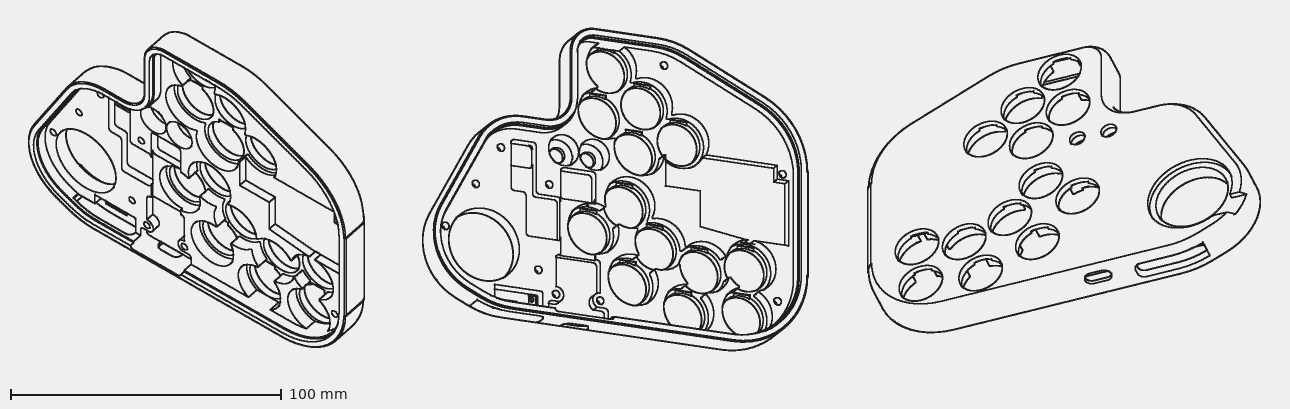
import cadquery as cq
import math


DEPTH = 14.0
HEIGHT = 115.0
BODY_WIDTH = 150.6
PAD_THICKNESS = 0.3
PAD_BOTTOM = 30.0
PAD_TOP = 70.8
PAD_ROOT = 15.1

BIG_RADIUS = 30.0
NOTCH_RADIUS = 10.0
NOTCH_X = 55.1
SHOULDER_Z = 76.5
OUTLINE_CORNERS = [
    (24.8, 0, BIG_RADIUS),
    (BODY_WIDTH, 0, BIG_RADIUS),
    (BODY_WIDTH, 89.8, BIG_RADIUS),
    (97.0, HEIGHT, BIG_RADIUS),
    (NOTCH_X, HEIGHT, NOTCH_RADIUS),
    (NOTCH_X, SHOULDER_Z, NOTCH_RADIUS),
    (23.8, SHOULDER_Z, 19.9),
    (-8.8, 15.4, 23.0),
]

BACK_CHAMFER = 2.5
BACK_FILLET = 3.9
FRONT_CHAMFER = 0.5

FLOOR_Y = 6.0
LID_INSET = 2.7
LID_DEPTH = 2.0
WALL_INSET = 3.3

CLUSTER_SIZE = 5
BUTTON_CENTRES = [
    (74.1, 103.1), (70.8, 84.4), (85.3, 72.1), (103.2, 78.6), (88.6, 90.9),
    (81.5, 50.9), (67.0, 38.6), (93.7, 36.2), (130.3, 33.0), (111.7, 29.7),
    (82.9, 20.7), (128.8, 14.2), (105.2, 11.9),
]
BUTTON_DIAMETER = 17.0
SEAT_DIAMETER = 20.0
BUTTON_PLATE = 3.0
SEAT_Y = DEPTH - BUTTON_PLATE
CUSP_RADIUS = 0.5
CLIP_WIDTH = 6.6
CLIP_REACH = 9.2
CLIP_DEPTH = 0.8

STICK_CENTRE = (22.8, 26.0)
STICK_DIAMETER = 28.4
RECESS_DIAMETER = 33.2
RECESS_DEPTH = 2.1
CHANNEL_BOTTOM = 11.9
CHANNEL_TOP = 20.5

JACK_CENTRES = [(54.8, 67.6), (67.2, 67.6)]
JACK_DIAMETER = 6.0
JACK_SEAT_DIAMETER = 12.0
JACK_PLATE = 2.0

USB_SCREW_CENTRES = [(51.8, 10.5), (69.6, 10.5)]
SCREW_CENTRES = USB_SCREW_CENTRES + [
    (95.2, 106.7), (143.0, 70.8), (29.6, 65.0), (49.0, 53.3),
    (19.5, 49.4), (7.2, 31.1), (44.7, 19.2), (141.0, 20.5),
]
SCREW_DIAMETER = 2.9
SCREW_DEPTH = 3.9

POCKET_DEPTH = 3.5
POCKET_RADIUS = 1.5
BOARD_POINTS = [
    (95.8, 74.0), (140.8, 74.0), (140.8, 68.5), (145.4, 68.5), (145.4, 43.0),
    (127.7, 43.0), (109.9, 45.5), (109.9, 59.5), (95.8, 59.5),
]

TRUNK_LEFT = 33.7
TRUNK_RIGHT = 43.8
TRUNK_TOP = 69.0
TRUNK_STEP_Z = 48.9
TRUNK_FOOT_LEFT = 39.7
TRUNK_FOOT_BOTTOM = 31.8
TRUNK_RADIUS = 1.4
WELL_BOTTOM = 59.9
WELL_DEPTH = 4.4

SOCKET_LEFT = 53.7
SOCKET_RIGHT = 67.8
SOCKET_TOP = 60.8
SOCKET_DEPTH = 3.9
CABLE_DEPTH = 1.0

USB_LEFT, USB_RIGHT = (x for x, z in USB_SCREW_CENTRES)
USB_TOP = 26.4
FLANGE_LEFT = 48.8
FLANGE_RIGHT = 72.8
FLANGE_TOP = 7.8
FLANGE_BOTTOM = 1.5
BOSS_DIAMETER = 6.0
USB_SLOT_LENGTH = 10.4
USB_SLOT_WIDTH = 5.3
USB_SLOT_Y = 9.0

SWITCH_LEFT = 27.0
SWITCH_RIGHT = 46.3
SWITCH_TOP = 10.9
SWITCH_BOTTOM = 3.5
SWITCH_RADIUS = 0.8
SLOT_LEFT = 18.9
SLOT_FRONT = 3.3
SLOT_BACK = 10.7
SLOT_TOP = 6.2
SLOT_RADIUS = 2.5
PIN_PAD_DEPTH = 0.8
LOWER_PAD_LEFT = 28.4
LOWER_PAD_RIGHT = 38.3
LOWER_PAD_TOP = 7.2
SIDE_PAD_LEFT = 42.7
SIDE_PAD_RIGHT = 45.9
SIDE_PAD_BOTTOM = 3.8
SIDE_PAD_TOP = 10.5
PIN_CENTRES = [(30.2, 5.9), (36.4, 5.9), (44.2, 9.2), (44.2, 5.6)]
PIN_DIAMETER = 1.8
PIN_DEPTH = 1.5

CLEARANCE = 1.5


def plane_at(y):
    """Sketch plane at the given Y, with local x = X and local y = Z."""
    return cq.Workplane("XZ", origin=(0, y, 0))


def prism(sketch, depth):
    """Extrude a closed sketch toward the back."""
    return sketch.extrude(-depth)


def polygon(points, y, depth):
    return prism(plane_at(y).polyline(points).close(), depth)


def box(left, right, bottom, top, y, depth):
    return polygon([(left, bottom), (right, bottom), (right, top), (left, top)], y, depth)


def rounded_box(left, right, bottom, top, y, depth):
    return box(left, right, bottom, top, y, depth).edges("|Y").fillet(POCKET_RADIUS)


def cylinders(centres, diameter, y, depth):
    return prism(plane_at(y).pushPoints(centres).circle(diameter / 2), depth)


def rounded_corner(before, corner, after, radius):
    """Start, middle and end of the arc that rounds a corner."""
    to_before = (before - corner).normalized()
    to_after = (after - corner).normalized()
    half_angle = to_before.getAngle(to_after) / 2
    reach = radius / math.tan(half_angle)
    middle_reach = radius / math.sin(half_angle) - radius
    inward = (to_before + to_after).normalized()
    points = (corner + to_before * reach, corner + inward * middle_reach, corner + to_after * reach)
    return [(point.x, point.y) for point in points]


def outline():
    """Closed outline of the body, with every corner rounded."""
    corners = [cq.Vector(x, z) for x, z, radius in OUTLINE_CORNERS]
    following = corners[1:] + corners[:1]
    arcs = [
        rounded_corner(corners[i - 1], corners[i], following[i], OUTLINE_CORNERS[i][2])
        for i in range(len(corners))
    ]
    first_start, first_middle, first_end = arcs[0]
    sketch = plane_at(0).moveTo(*first_start).threePointArc(first_middle, first_end)
    for start, middle, end in arcs[1:]:
        sketch = sketch.lineTo(*start).threePointArc(middle, end)
    return sketch.close()


def inset_prism(inset, depth):
    return prism(outline().offset2D(-inset), depth)


def outer_body():
    body = prism(outline(), DEPTH).faces(">Y").chamfer(BACK_CHAMFER)
    chamfer_y = DEPTH - BACK_CHAMFER
    chamfer_band = cq.selectors.BoxSelector(
        (-CLEARANCE, chamfer_y - FRONT_CHAMFER, -CLEARANCE),
        (BODY_WIDTH + CLEARANCE, chamfer_y + FRONT_CHAMFER, HEIGHT + CLEARANCE),
    )
    body = body.edges(chamfer_band).fillet(BACK_FILLET)
    body = body.faces("<Y").chamfer(FRONT_CHAMFER)
    pad_block = box(BODY_WIDTH - PAD_ROOT, BODY_WIDTH + CLEARANCE, PAD_BOTTOM, PAD_TOP, 0, DEPTH)
    pad = body.intersect(pad_block).translate((PAD_THICKNESS, 0, 0))
    return body.union(pad)


def cavity():
    return inset_prism(LID_INSET, LID_DEPTH).union(inset_prism(WALL_INSET, FLOOR_Y))


def button_seats():
    """Overlapping round seats with blunted cusps, kept inside the cavity wall."""
    depth = SEAT_Y - FLOOR_Y
    seats = polygon(BUTTON_CENTRES[:CLUSTER_SIZE], FLOOR_Y, depth)
    for centre in BUTTON_CENTRES:
        seats = seats.union(cylinders([centre], SEAT_DIAMETER, FLOOR_Y, depth))
    middle_y = FLOOR_Y + depth / 2
    seams = [cq.Vector(x + SEAT_DIAMETER / 2, middle_y, z) for x, z in BUTTON_CENTRES]
    cusps = [
        edge for edge in seats.edges("|Y").vals()
        if min((edge.Center() - seam).Length for seam in seams) > CUSP_RADIUS / 10
    ]
    seats = seats.newObject(cusps).fillet(CUSP_RADIUS)
    return seats.intersect(inset_prism(WALL_INSET, DEPTH))


def button_holes():
    holes = button_seats().union(cylinders(BUTTON_CENTRES, BUTTON_DIAMETER, SEAT_Y, BUTTON_PLATE))
    for x, z in BUTTON_CENTRES:
        clip = box(x - CLIP_WIDTH / 2, x + CLIP_WIDTH / 2, z, z + CLIP_REACH, SEAT_Y, CLIP_DEPTH)
        holes = holes.union(clip)
    return holes


def stick_hole():
    """Through hole with a recess in the back and a channel from it to the left side."""
    recess_y = DEPTH - RECESS_DEPTH
    hole = cylinders([STICK_CENTRE], STICK_DIAMETER, 0, DEPTH)
    recess = cylinders([STICK_CENTRE], RECESS_DIAMETER, recess_y, RECESS_DEPTH)
    channel = box(-CLEARANCE, STICK_CENTRE[0], CHANNEL_BOTTOM, CHANNEL_TOP, recess_y, RECESS_DEPTH)
    return hole.union(recess).union(channel)


def jack_holes():
    seats = cylinders(JACK_CENTRES, JACK_SEAT_DIAMETER, FLOOR_Y, DEPTH - JACK_PLATE - FLOOR_Y)
    return seats.union(cylinders(JACK_CENTRES, JACK_DIAMETER, FLOOR_Y, DEPTH - FLOOR_Y))


def cable_pockets():
    trunk_points = [
        (TRUNK_LEFT, TRUNK_TOP), (TRUNK_RIGHT, TRUNK_TOP),
        (TRUNK_RIGHT, TRUNK_STEP_Z), (SOCKET_LEFT, TRUNK_STEP_Z),
        (SOCKET_LEFT, TRUNK_FOOT_BOTTOM), (TRUNK_FOOT_LEFT, TRUNK_FOOT_BOTTOM),
        (TRUNK_FOOT_LEFT, TRUNK_STEP_Z), (TRUNK_LEFT, TRUNK_STEP_Z),
    ]
    trunk = polygon(trunk_points, FLOOR_Y, POCKET_DEPTH).edges("|Y").fillet(TRUNK_RADIUS)
    well = rounded_box(TRUNK_LEFT, TRUNK_RIGHT, WELL_BOTTOM, TRUNK_TOP, FLOOR_Y, WELL_DEPTH)
    socket = rounded_box(SOCKET_LEFT, SOCKET_RIGHT, TRUNK_STEP_Z, SOCKET_TOP, FLOOR_Y, SOCKET_DEPTH)
    cable_top = TRUNK_STEP_Z + POCKET_RADIUS
    cable = box(SOCKET_LEFT, SOCKET_RIGHT, USB_TOP - POCKET_RADIUS, cable_top, FLOOR_Y, CABLE_DEPTH)
    return trunk.union(well).union(socket).union(cable)


def usb_pocket():
    """Pocket between two screw bosses, a flange gap open to the front and a slot through the wall."""
    pocket = rounded_box(USB_LEFT, USB_RIGHT, FLANGE_BOTTOM, USB_TOP, FLOOR_Y, POCKET_DEPTH)
    pocket = pocket.cut(cylinders(USB_SCREW_CENTRES, BOSS_DIAMETER, FLOOR_Y, POCKET_DEPTH))
    flange = rounded_box(
        FLANGE_LEFT, FLANGE_RIGHT, FLANGE_BOTTOM, FLANGE_TOP, -CLEARANCE, CLEARANCE + FLOOR_Y + POCKET_DEPTH
    )
    slot = (
        cq.Workplane("XY")
        .center((USB_LEFT + USB_RIGHT) / 2, USB_SLOT_Y)
        .slot2D(USB_SLOT_LENGTH, USB_SLOT_WIDTH)
        .extrude(FLANGE_BOTTOM)
    )
    return pocket.union(flange).union(slot)


def switch_pocket():
    """Pocket with two pin pads and a slot through the lower left wall."""
    pocket = box(SWITCH_LEFT, SWITCH_RIGHT, SWITCH_BOTTOM, SWITCH_TOP, FLOOR_Y, SLOT_BACK - FLOOR_Y)
    pocket = pocket.edges("|Y and >X").fillet(SWITCH_RADIUS)
    lower_pad = box(LOWER_PAD_LEFT, LOWER_PAD_RIGHT, SWITCH_BOTTOM, LOWER_PAD_TOP, SLOT_BACK, PIN_PAD_DEPTH)
    lower_pad = lower_pad.edges("|Y and >Z").fillet(SWITCH_RADIUS)
    side_pad = box(SIDE_PAD_LEFT, SIDE_PAD_RIGHT, SIDE_PAD_BOTTOM, SIDE_PAD_TOP, SLOT_BACK, PIN_PAD_DEPTH)
    pins = cylinders(PIN_CENTRES, PIN_DIAMETER, SLOT_BACK, PIN_PAD_DEPTH + PIN_DEPTH)
    slot = box(SLOT_LEFT, SWITCH_RIGHT, 0, SLOT_TOP, SLOT_FRONT, SLOT_BACK - SLOT_FRONT)
    slot = slot.edges("|Z and >X").fillet(SLOT_RADIUS)
    return pocket.union(lower_pad).union(side_pad).union(pins).union(slot)


result = (
    outer_body()
    .cut(cavity())
    .cut(button_holes())
    .cut(stick_hole())
    .cut(jack_holes())
    .cut(polygon(BOARD_POINTS, FLOOR_Y, POCKET_DEPTH))
    .cut(cable_pockets())
    .cut(usb_pocket())
    .cut(switch_pocket())
    .cut(cylinders(SCREW_CENTRES, SCREW_DIAMETER, FLOOR_Y, SCREW_DEPTH))
)